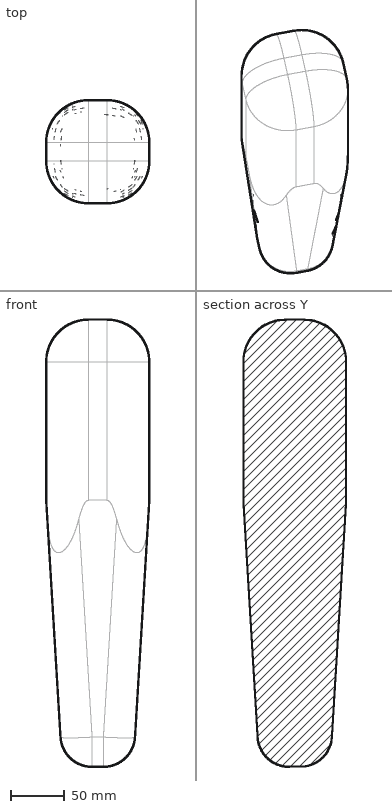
import cadquery as cq

length = 420.0
width = 97.0
upper_radius = 40.0
lower_radius = 30.0
taper_start = 250.5
base_width = 66.8

extended_width = base_width + (width - base_width) * length / taper_start


def straight_body():
    """Square bar with rounded long edges and a rounded top."""
    bar = cq.Workplane("XY").rect(width, width).extrude(length)
    return bar.edges("|Z or >Z").fillet(upper_radius)


def tapered_body():
    """Square bar widening upward, with rounded corners and a rounded base."""
    base = cq.Workplane("XY").rect(base_width, base_width)
    bar = base.workplane(offset=length).rect(extended_width, extended_width).loft(ruled=True)
    return bar.edges("not >Z").fillet(lower_radius)


result = straight_body().intersect(tapered_body())